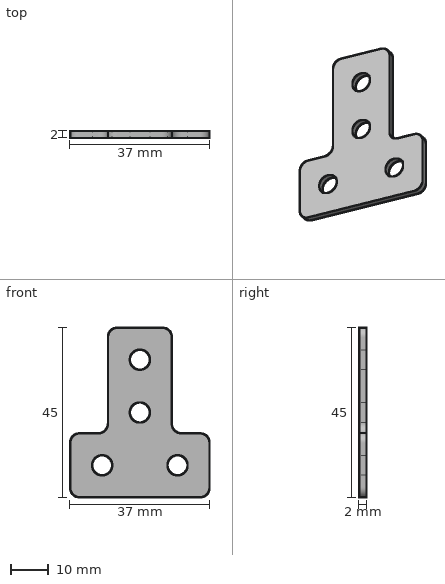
import cadquery as cq

height = 45.0
base_width = 37.0
arm_width = 17.0
thickness = 2.0
corner_radius = 2.5
hole_diameter = 5.25
base_hole_spacing = 20.0
hole_row_pitch = 14.0

base_hole_z = arm_width / 2
hole_centres = [
    (-base_hole_spacing / 2, base_hole_z),
    (base_hole_spacing / 2, base_hole_z),
    (0, base_hole_z + hole_row_pitch),
    (0, base_hole_z + 2 * hole_row_pitch),
]


def upright_slab(width, slab_height):
    """Slab standing on Z = 0, centred on X and on its thickness in Y."""
    return cq.Workplane("XY").box(width, thickness, slab_height, centered=(True, True, False))


plate = upright_slab(base_width, arm_width).union(upright_slab(arm_width, height))
plate = plate.edges("|Y").fillet(corner_radius)

hole_cutters = (
    cq.Workplane("XZ", origin=(0, thickness / 2, 0))
    .pushPoints(hole_centres)
    .circle(hole_diameter / 2)
    .extrude(thickness)
)

result = plate.cut(hole_cutters)